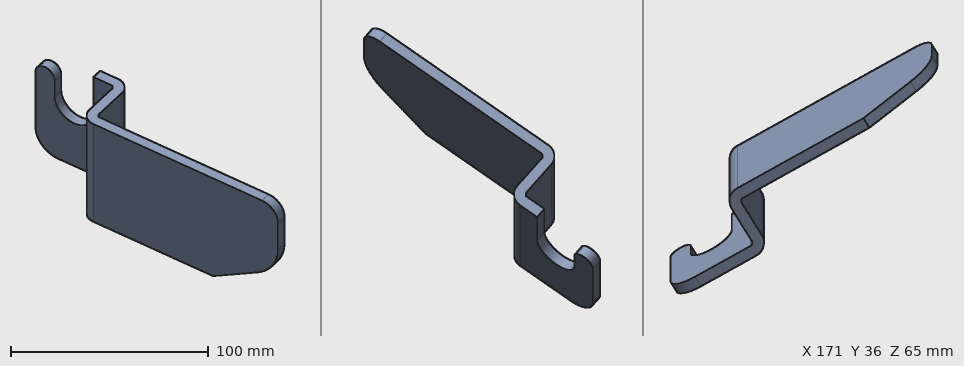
import cadquery as cq
import math

length = 171.0
depth = 36.0
height = 65.0

thickness = 6.0
inner_bend_radius = 2.0
outer_bend_radius = inner_bend_radius + thickness
web_left = 48.9
web_right = web_left + thickness

finger_width = 12.0
finger_top = 57.0
slot_width = 24.0
slot_radius = slot_width / 2
slot_center_x = finger_width + slot_radius
slot_center_z = 40.4
slot_right = finger_width + slot_width

hook_corner_radius = 14.4
top_corner_radius = 10.1
slope_corner_radius = 25.0
slope_start_x = 131.0
slope_angle = math.radians(30)
slope_end_z = (length - slope_start_x) * math.tan(slope_angle)

tolerance = 0.02
margin = 1.7


def upright_edge_at(x, y):
    """Select the single upright edge that passes through (x, y)."""
    return cq.selectors.BoxSelector(
        (x - tolerance, y - tolerance, -margin),
        (x + tolerance, y + tolerance, height + margin),
    )


def make_bent_sheet():
    """Z-shaped strip: rear hook plate, web, and front plate, with rounded bends."""
    rear_inner = depth - thickness
    sheet = (
        cq.Workplane("XY")
        .polyline([
            (0, depth),
            (web_right, depth),
            (web_right, thickness),
            (length, thickness),
            (length, 0),
            (web_left, 0),
            (web_left, rear_inner),
            (0, rear_inner),
        ])
        .close()
        .extrude(height)
    )
    for x, y in [(web_right, depth), (web_left, 0)]:
        sheet = sheet.edges(upright_edge_at(x, y)).fillet(outer_bend_radius)
    for x, y in [(web_right, thickness), (web_left, rear_inner)]:
        sheet = sheet.edges(upright_edge_at(x, y)).fillet(inner_bend_radius)
    return sheet


def round_corner(solid, x, z, radius):
    """Round the outline corner at (x, z), whose edge runs through the sheet."""
    corner = cq.selectors.BoxSelector(
        (x - tolerance, -margin, z - tolerance),
        (x + tolerance, depth + margin, z + tolerance),
    )
    return solid.edges(corner).fillet(radius)


def make_outline():
    """Flat silhouette of the bracket, extruded through the full depth."""
    finger_radius = finger_width / 2
    finger_center_z = finger_top - finger_radius
    outline = (
        cq.Workplane("XZ", origin=(0, depth, 0))
        .moveTo(0, 0)
        .lineTo(slope_start_x, 0)
        .lineTo(length, slope_end_z)
        .lineTo(length, height)
        .lineTo(slot_right, height)
        .lineTo(slot_right, slot_center_z)
        .threePointArc((slot_center_x, slot_center_z - slot_radius), (finger_width, slot_center_z))
        .lineTo(finger_width, finger_center_z)
        .threePointArc((finger_radius, finger_top), (0, finger_center_z))
        .close()
        .extrude(depth)
    )
    outline = round_corner(outline, 0, 0, hook_corner_radius)
    outline = round_corner(outline, length, height, top_corner_radius)
    return round_corner(outline, length, slope_end_z, slope_corner_radius)


result = make_bent_sheet().intersect(make_outline())